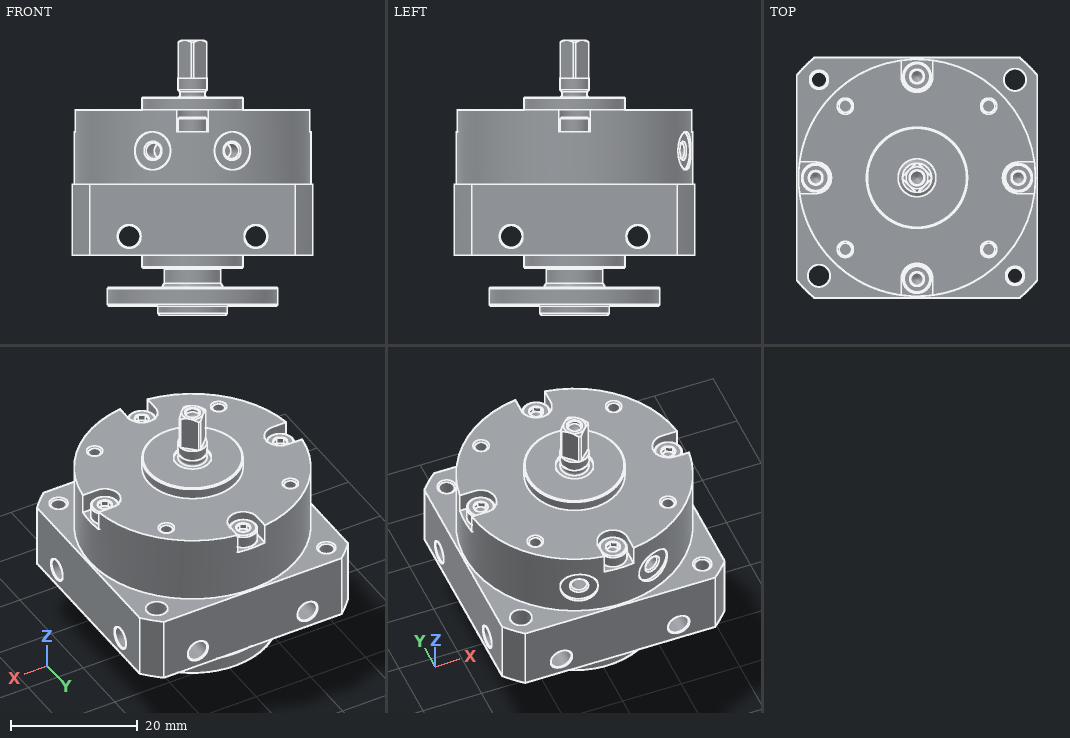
import cadquery as cq
import math

RIM_BOTTOM = 1.5
RIM_TOP = 4.5
NECK_TOP = 7.5
PLATE_BOTTOM = 9.5
PLATE_TOP = 20.75
BODY_TOP = 32.5
BOSS_TOP = 34.5
SQUARE_BOTTOM = 37.5
SHAFT_TOP = 43.5

PLATE_SIDE = 38.0
PLATE_CORNER_DIAMETER = 50.0
BODY_DIAMETER = 37.45
BOSS_DIAMETER = 16.0
BOSS_CHAMFER = 0.17

BORE_DIAMETER = 6.0

CORNER_HOLE_OFFSET = 15.5
CLEARANCE_HOLE_DIAMETER = 3.5
CORNER_THREAD_DIAMETER = 2.5
CORNER_THREAD_MOUTH = 3.0
SIDE_HOLE_OFFSET = 10.0
SIDE_HOLE_HEIGHT = 12.5
SIDE_HOLE_MOUTH = 3.75

SCREW_COUNT = 4
SCREW_SPACING = 360 / SCREW_COUNT
PITCH_RADIUS = 16.0
SLOT_WIDTH = 5.0
SLOT_FLOOR = 29.0
SCREW_HEAD_DIAMETER = 4.5
SCREW_HEAD_HEIGHT = 2.3
SCREW_HEAD_CHAMFER = 0.2
SOCKET_ACROSS_FLATS = 2.0
SOCKET_MOUTH_DIAMETER = 2.3
SOCKET_DEPTH = 1.1
BODY_THREAD_DIAMETER = 2.0
BODY_THREAD_MOUTH = 2.55
BODY_THREAD_DEPTH = 4.0

PORT_ANGLE = 20.0
PORT_HEIGHT = 26.0
PORT_FACE_RADIUS = 18.25
PORT_FACE_DIAMETER = 6.0
PORT_MOUTH_DIAMETER = 3.0
PORT_THREAD_DIAMETER = 2.5
PORT_DEPTH = 4.0

PILOT_DIAMETER = 11.0
PILOT_CHAMFER = 0.3
RIM_DIAMETER = 27.0
RIM_CHAMFER = 0.25
NECK_DIAMETER = 9.0
NECK_FLARE_WIDTH = 0.35
NECK_FLARE_HEIGHT = 0.6
NECK_CHAMFER = 0.17
GROOVE_DIAMETER = 4.0
GROOVE_TOP = 35.32
JOURNAL_DIAMETER = 4.6
SHOULDER_CONE_HEIGHT = 0.4
SQUARE_ACROSS_FLATS = 3.5
SQUARE_CORNER_DIAMETER = 4.55
SQUARE_TIP_DIAMETER = 3.5
SQUARE_TIP_HEIGHT = 0.325
CENTRE_HOLE_DIAMETER = 1.55
CENTRE_HOLE_MOUTH = 2.5
CENTRE_BORE_DIAMETER = 2.2
CENTRE_BORE_DEPTH = 0.75
DRILL_TIP_ANGLE = 118.0


def disc(diameter, bottom, top):
    """Upright cylinder on the main axis."""
    return cq.Workplane("XY").workplane(offset=bottom).circle(diameter / 2).extrude(top - bottom)


def revolved(profile):
    """Body of revolution about the Z axis from (radius, height) points."""
    return cq.Workplane("XZ").polyline(profile).close().revolve(360, (0, 0, 0), (0, 1, 0))


def drill_tip(diameter, depth):
    """Cone a drill leaves at the end of a hole that goes down from the origin."""
    height = diameter / 2 / math.tan(math.radians(DRILL_TIP_ANGLE / 2))
    return revolved([
        (0, -depth),
        (diameter / 2, -depth),
        (0, -depth - height),
    ])


def blind_hole(diameter, mouth_diameter, depth):
    """Flat-bottomed hole with a 45 degree mouth, going down from the origin."""
    sink = (mouth_diameter - diameter) / 2
    return revolved([
        (0, 0),
        (mouth_diameter / 2, 0),
        (diameter / 2, -sink),
        (diameter / 2, -depth),
        (0, -depth),
    ])


def through_hole(diameter, mouth_diameter, length):
    """Hole with a 45 degree mouth at both ends, going down from the origin."""
    sink = (mouth_diameter - diameter) / 2
    return revolved([
        (0, 0),
        (mouth_diameter / 2, 0),
        (diameter / 2, -sink),
        (diameter / 2, sink - length),
        (mouth_diameter / 2, -length),
        (0, -length),
    ])


def make_plate():
    """Square mounting plate with its corner and side holes."""
    plate_height = PLATE_TOP - PLATE_BOTTOM
    plate = cq.Workplane("XY").workplane(offset=PLATE_BOTTOM)
    plate = plate.rect(PLATE_SIDE, PLATE_SIDE).extrude(plate_height)

    plate = plate.intersect(disc(PLATE_CORNER_DIAMETER, PLATE_BOTTOM, PLATE_TOP))

    clearance_hole = disc(CLEARANCE_HOLE_DIAMETER, PLATE_BOTTOM, PLATE_TOP)
    tapped_hole = through_hole(CORNER_THREAD_DIAMETER, CORNER_THREAD_MOUTH, plate_height)
    for side in (-1, 1):
        x = side * CORNER_HOLE_OFFSET
        plate = plate.cut(clearance_hole.translate((x, x, 0)))
        plate = plate.cut(tapped_hole.translate((x, -x, PLATE_TOP)))

    side_hole = through_hole(CLEARANCE_HOLE_DIAMETER, SIDE_HOLE_MOUTH, PLATE_SIDE)
    side_hole = side_hole.rotate((0, 0, 0), (1, 0, 0), 90)
    for side in (-1, 1):
        along_y = side_hole.translate((side * SIDE_HOLE_OFFSET, -PLATE_SIDE / 2, SIDE_HOLE_HEIGHT))
        along_x = along_y.rotate((0, 0, 0), (0, 0, 1), 90)
        plate = plate.cut(along_y).cut(along_x)
    return plate


def make_slot():
    """Round-ended slot open at the outside of the body, on the +X side."""
    height = BODY_TOP - SLOT_FLOOR
    length = BODY_DIAMETER / 2 - PITCH_RADIUS
    start = cq.Workplane("XY").workplane(offset=SLOT_FLOOR).center(PITCH_RADIUS, 0)
    open_end = start.center(length / 2, 0).rect(length, SLOT_WIDTH).extrude(height)
    round_end = start.circle(SLOT_WIDTH / 2).extrude(height)
    return round_end.union(open_end)


def make_screw_head():
    """Socket head standing on the XY plane, centred on the origin."""
    head = cq.Workplane("XY").circle(SCREW_HEAD_DIAMETER / 2).extrude(SCREW_HEAD_HEIGHT)
    head = head.faces(">Z").chamfer(SCREW_HEAD_CHAMFER)
    corner_diameter = SOCKET_ACROSS_FLATS / math.cos(math.pi / 6)
    socket = cq.Workplane("XY").polygon(6, corner_diameter).extrude(-SOCKET_DEPTH)
    socket = socket.rotate((0, 0, 0), (0, 0, 1), 30)
    tip = drill_tip(SOCKET_ACROSS_FLATS, SOCKET_DEPTH)
    mouth = revolved([
        (0, 0),
        (SOCKET_MOUTH_DIAMETER / 2, 0),
        (0, -SOCKET_MOUTH_DIAMETER / 2),
    ])
    for cutter in (socket, tip, mouth):
        head = head.cut(cutter.translate((0, 0, SCREW_HEAD_HEIGHT)))
    return head


def make_port():
    """Spot-faced port that enters the body from the -Y side."""
    face_depth = BODY_DIAMETER / 2 - PORT_FACE_RADIUS
    spot_face = cq.Workplane("XY").circle(PORT_FACE_DIAMETER / 2).extrude(face_depth)
    port = spot_face.union(blind_hole(PORT_THREAD_DIAMETER, PORT_MOUTH_DIAMETER, PORT_DEPTH))
    port = port.rotate((0, 0, 0), (1, 0, 0), 90)
    return port.translate((0, -PORT_FACE_RADIUS, PORT_HEIGHT))


def make_housing():
    """Plate, round body and bosses, with slots, screw heads, tapped holes, ports and bore."""
    housing = make_plate().union(disc(BODY_DIAMETER, PLATE_TOP, BODY_TOP))
    upper_boss = disc(BOSS_DIAMETER, BODY_TOP, BOSS_TOP).faces(">Z").chamfer(BOSS_CHAMFER)
    lower_boss = disc(BOSS_DIAMETER, NECK_TOP, PLATE_BOTTOM).faces("<Z").chamfer(BOSS_CHAMFER)
    housing = housing.union(upper_boss).union(lower_boss)

    slot = make_slot()
    screw_head = make_screw_head()
    for place in range(SCREW_COUNT):
        angle = SCREW_SPACING * place
        x = PITCH_RADIUS * math.cos(math.radians(angle))
        y = PITCH_RADIUS * math.sin(math.radians(angle))
        housing = housing.cut(slot.rotate((0, 0, 0), (0, 0, 1), angle))
        housing = housing.union(screw_head.translate((x, y, SLOT_FLOOR)))

    body_hole = blind_hole(BODY_THREAD_DIAMETER, BODY_THREAD_MOUTH, BODY_THREAD_DEPTH)
    body_hole = body_hole.translate((PITCH_RADIUS, 0, BODY_TOP))
    for place in range(SCREW_COUNT):
        angle = SCREW_SPACING * (place + 0.5)
        housing = housing.cut(body_hole.rotate((0, 0, 0), (0, 0, 1), angle))

    port = make_port()
    for angle in (-PORT_ANGLE, PORT_ANGLE):
        housing = housing.cut(port.rotate((0, 0, 0), (0, 0, 1), angle))

    return housing.cut(disc(BORE_DIAMETER, NECK_TOP, BOSS_TOP))


def make_square_end():
    """Square drive with tapered tip and rounded corners pointing along X and Y."""
    height = SHAFT_TOP - SQUARE_BOTTOM
    square = cq.Workplane("XY").workplane(offset=SQUARE_BOTTOM)
    square = square.rect(SQUARE_ACROSS_FLATS, SQUARE_ACROSS_FLATS).extrude(height)
    square = square.rotate((0, 0, 0), (0, 0, 1), 45)
    envelope = revolved([
        (0, SQUARE_BOTTOM),
        (SQUARE_CORNER_DIAMETER / 2, SQUARE_BOTTOM),
        (SQUARE_CORNER_DIAMETER / 2, SHAFT_TOP - SQUARE_TIP_HEIGHT),
        (SQUARE_TIP_DIAMETER / 2, SHAFT_TOP),
        (0, SHAFT_TOP),
    ])
    return square.intersect(envelope)


def make_centre_hole():
    """Chamfered bore in the shaft end that narrows at 45 degrees to a drill tip."""
    mouth = CENTRE_HOLE_MOUTH / 2
    bore = CENTRE_BORE_DIAMETER / 2
    drill = CENTRE_HOLE_DIAMETER / 2
    depth = CENTRE_BORE_DEPTH + (bore - drill)
    hole = revolved([
        (0, 0),
        (mouth, 0),
        (bore, bore - mouth),
        (bore, -CENTRE_BORE_DEPTH),
        (drill, -depth),
        (0, -depth),
    ])
    return hole.union(drill_tip(CENTRE_HOLE_DIAMETER, depth))


def make_rotor():
    """Turned output flange and shaft with a square drive end."""
    pilot = PILOT_DIAMETER / 2
    rim = RIM_DIAMETER / 2
    neck = NECK_DIAMETER / 2
    core = BORE_DIAMETER / 2
    groove = GROOVE_DIAMETER / 2
    journal = JOURNAL_DIAMETER / 2
    groove_radius = journal - groove
    lower_profile = [
        (0, 0),
        (pilot - PILOT_CHAMFER, 0),
        (pilot, PILOT_CHAMFER),
        (pilot, RIM_BOTTOM),
        (rim - RIM_CHAMFER, RIM_BOTTOM),
        (rim, RIM_BOTTOM + RIM_CHAMFER),
        (rim, RIM_TOP - RIM_CHAMFER),
        (rim - RIM_CHAMFER, RIM_TOP),
        (neck + NECK_FLARE_WIDTH, RIM_TOP),
        (neck, RIM_TOP + NECK_FLARE_HEIGHT),
        (neck, NECK_TOP - NECK_CHAMFER),
        (neck - NECK_CHAMFER, NECK_TOP),
        (core, NECK_TOP),
        (core, BOSS_TOP - SHOULDER_CONE_HEIGHT),
        (journal, BOSS_TOP),
    ]
    profile = cq.Workplane("XZ").polyline(lower_profile)
    profile = profile.radiusArc((groove, BOSS_TOP + groove_radius), groove_radius)
    profile = profile.lineTo(groove, GROOVE_TOP)
    profile = profile.lineTo(journal, GROOVE_TOP + groove_radius)
    profile = profile.lineTo(journal, SQUARE_BOTTOM)
    profile = profile.lineTo(0, SQUARE_BOTTOM)
    rotor = profile.close().revolve(360, (0, 0, 0), (0, 1, 0))
    rotor = rotor.union(make_square_end())
    return rotor.cut(make_centre_hole().translate((0, 0, SHAFT_TOP)))


housing = make_housing()
rotor = make_rotor()

result = cq.Compound.makeCompound([housing.val(), rotor.val()])